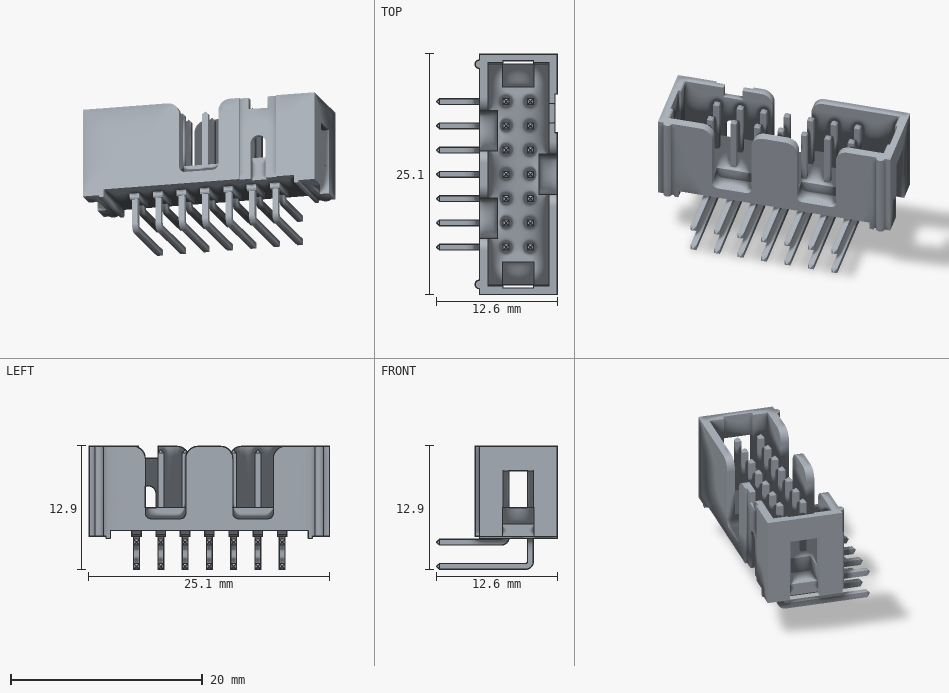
import cadquery as cq


width = 8.13
length = 25.1
height = 9.4
exit_wall = 0.9
back_wall = 0.85
floor_top = 3.0
floor_bottom = 0.6
cavity_length = 23.1
rim_bevel = 0.13

foot_inner_y = 10.32
foot_outer_y = 10.8
foot_drop = 0.23
foot_radius = 0.13

window_width = 3.16
window_top = 6.85
window_recess_y = 11.85
pocket_width = 3.26
pocket_bottom = 1.28
pocket_inner_y = 9.14

notch_width = 4.25
notch_bottom = 1.83
notch_depth = 1.9
notch_bottom_radius = 0.63
notch_rim_radius = 1.25
exit_notch_y = 4.57

key_y = 6.38
key_relief_width = 4.02
key_relief_depth = 0.23
key_gap_width = 2.03
key_gap_bottom = 8.18
key_arch_width = 1.6
key_arch_top = 5.27

rib_radius = 0.45
rib_y = 11.5

pin_columns = 7
pitch = 2.54
pin_size = 0.63
bend_radius = 0.23
tip_length = 0.35
tip_flat = 0.03
pin_top = 9.04
tail_end = -4.5
upper_tail_z = -0.6

bar_width = 1.0
bar_bevel_height = 0.18
bar_bevel_depth = 0.08

middle_x = width / 2
row_x = [middle_x - pitch / 2, middle_x + pitch / 2]
column_y = [(i - (pin_columns - 1) / 2) * pitch for i in range(pin_columns)]


def block(x0, x1, y0, y1, z0, z1):
    return cq.Workplane("XY").box(x1 - x0, y1 - y0, z1 - z0, centered=False).translate((x0, y0, z0))


def make_shell():
    shell = block(0, width, -length / 2, length / 2, 0, height)
    underside = block(0, width, -foot_inner_y, foot_inner_y, 0, floor_bottom)
    cavity = block(
        exit_wall, width - back_wall, -cavity_length / 2, cavity_length / 2, floor_top, height
    )
    cavity = cavity.union(make_rim_bevel())
    return shell.cut(underside).cut(cavity)


def make_rim_bevel():
    """Wedge that opens the cavity towards both ends at the rim."""
    half = cavity_length / 2
    wedge = [
        (-half, height - rim_bevel),
        (half, height - rim_bevel),
        (half + rim_bevel, height),
        (-half - rim_bevel, height),
    ]
    span = width - back_wall - exit_wall
    return cq.Workplane("YZ").polyline(wedge).close().extrude(span).translate((exit_wall, 0, 0))


def make_end_opening():
    """Window, open slot, recess and floor pocket at the +Y end."""
    end_y = length / 2
    half_window = window_width / 2
    half_pocket = pocket_width / 2
    floor_end = cavity_length / 2
    left, right = middle_x - half_window, middle_x + half_window
    pocket_left, pocket_right = middle_x - half_pocket, middle_x + half_pocket
    window = block(left, right, floor_end, end_y, floor_top, window_top)
    slot = block(pocket_left, pocket_right, floor_end, end_y, 0, floor_top)
    recess = block(left, right, floor_end, window_recess_y, floor_top, height)
    pocket = block(pocket_left, pocket_right, pocket_inner_y, floor_end, pocket_bottom, floor_top)
    return window.union(slot).union(recess).union(pocket)


def make_notch(y, x0, x1, bar_x0):
    """U notch with a flared mouth through a side wall (x0 to x1); it bites the floor from bar_x0."""
    notch = block(bar_x0, bar_x0 + notch_depth, -notch_width / 2, notch_width / 2, notch_bottom, height)
    notch = notch.edges("|X and <Z").fillet(notch_bottom_radius)
    mouth_half = notch_width / 2 + notch_rim_radius
    flare_z = height - notch_rim_radius
    mouth = block(x0, x1, -mouth_half, mouth_half, flare_z, height)
    for side in (-1, 1):
        corner = (
            cq.Workplane("YZ")
            .center(side * mouth_half, flare_z)
            .circle(notch_rim_radius)
            .extrude(x1 - x0)
            .translate((x0, 0, 0))
        )
        mouth = mouth.cut(corner)
    return notch.union(mouth).translate((0, y, 0))


def make_key():
    """Outside relief, rim gap and open-bottomed arch of the polarising key."""
    inner_x = width - back_wall
    half_relief = key_relief_width / 2
    half_gap = key_gap_width / 2
    arch_radius = key_arch_width / 2
    spring_z = key_arch_top - arch_radius
    relief = block(width - key_relief_depth, width, key_y - half_relief, key_y + half_relief, 0, height)
    gap = block(inner_x, width, key_y - half_gap, key_y + half_gap, key_gap_bottom, height)
    arch = (
        cq.Workplane("YZ")
        .moveTo(key_y - arch_radius, floor_bottom)
        .lineTo(key_y - arch_radius, spring_z)
        .threePointArc((key_y, key_arch_top), (key_y + arch_radius, spring_z))
        .lineTo(key_y + arch_radius, floor_bottom)
        .close()
        .extrude(back_wall)
        .translate((inner_x, 0, 0))
    )
    return relief.union(gap).union(arch)


def make_foot():
    foot = block(0, width, foot_inner_y, foot_outer_y, -foot_drop, floor_bottom)
    return foot.edges("|X and <Z").fillet(foot_radius)


def make_bar():
    """Stand-off across both pin rows, its two ends bevelled towards the bottom."""
    half = bar_width / 2
    left, right = row_x[0] - half, row_x[1] + half
    outline = [
        (left, floor_bottom),
        (left, bar_bevel_height),
        (left + bar_bevel_depth, 0),
        (right - bar_bevel_depth, 0),
        (right, bar_bevel_height),
        (right, floor_bottom),
    ]
    return cq.Workplane("XZ", origin=(0, half, 0)).polyline(outline).close().extrude(bar_width)


def make_pin(x, tail_z):
    """Square pin with pointed ends, bent once at a right angle."""
    half = pin_size / 2
    shoulder_z = pin_top - tip_length
    shoulder_x = tail_end + tip_length
    bend_x = x - half - bend_radius
    bend_z = tail_z + half + bend_radius
    outer_radius = bend_radius + pin_size
    bent_bar = (
        cq.Workplane("XZ", origin=(0, half, 0))
        .moveTo(shoulder_x, tail_z + half)
        .lineTo(bend_x, tail_z + half)
        .radiusArc((x - half, bend_z), -bend_radius)
        .lineTo(x - half, shoulder_z)
        .lineTo(x + half, shoulder_z)
        .lineTo(x + half, bend_z)
        .radiusArc((bend_x, tail_z - half), outer_radius)
        .lineTo(shoulder_x, tail_z - half)
        .close()
        .extrude(pin_size)
    )
    return bent_bar.union(make_tip("XY", (x, 0, shoulder_z))).union(make_tip("ZY", (shoulder_x, 0, tail_z)))


def make_tip(plane, base):
    """Pyramid point growing from the given base centre."""
    square = cq.Workplane(plane, origin=base).rect(pin_size, pin_size)
    return square.workplane(offset=tip_length).rect(tip_flat, tip_flat).loft()


result = make_shell()

end_opening = make_end_opening()
result = result.cut(end_opening).cut(end_opening.mirror("XZ"))

for notch_y in (-exit_notch_y, exit_notch_y):
    result = result.cut(make_notch(notch_y, 0, exit_wall, 0))
result = result.cut(make_notch(0, width - back_wall, width, width - notch_depth))
result = result.cut(make_key())

foot = make_foot()
result = result.union(foot).union(foot.mirror("XZ"))

for side in (-1, 1):
    rib = cq.Workplane("XY").center(0, side * rib_y).circle(rib_radius).extrude(height)
    result = result.union(rib)

for y in column_y:
    result = result.union(make_bar().translate((0, y, 0)))
    for row, x in enumerate(row_x):
        pin = make_pin(x, upper_tail_z - row * pitch)
        result = result.union(pin.translate((0, y, 0)))